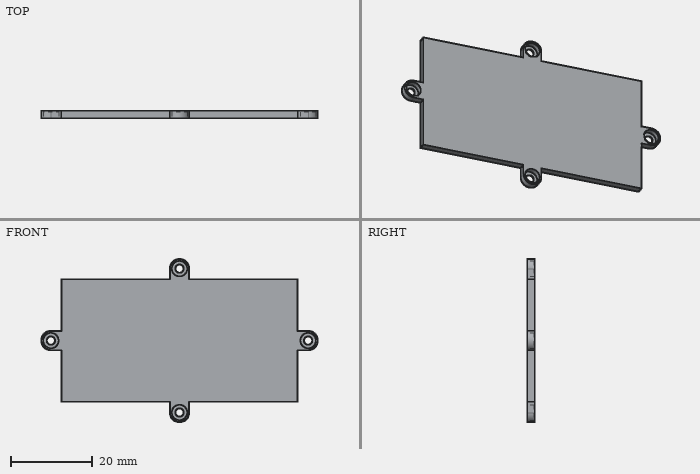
import cadquery as cq

plate_length = 58.21
plate_height = 30.27
thickness = 1.9

lug_reach = 5.0
lug_width = 4.8
lug_radius = lug_width / 2
hole_offset = lug_reach - lug_radius

hole_diameter = 2.0
counterbore_diameter = 3.8
counterbore_depth = 1.6

front_y = -thickness / 2
hole_x = plate_length / 2 + hole_offset
hole_z = plate_height / 2 + hole_offset
hole_centers = [(hole_x, 0), (-hole_x, 0), (0, hole_z), (0, -hole_z)]


def front_plane():
    """Sketch plane on the front face: local x is X, local y is Z, normal is -Y."""
    return cq.Workplane("XZ", origin=(0, front_y, 0))


def make_plate():
    return cq.Workplane("XY").box(plate_length, thickness, plate_height)


def make_lugs():
    """Two round-ended bars crossing at the plate centre; their ends form the lugs."""
    bar_x = front_plane().slot2D(2 * (hole_x + lug_radius), lug_width)
    bar_z = front_plane().slot2D(2 * (hole_z + lug_radius), lug_width, 90)
    return bar_x.extrude(-thickness).union(bar_z.extrude(-thickness))


def make_holes():
    """Through holes with their wider counterbores, as one cutting body."""
    sketch = front_plane().pushPoints(hole_centers)
    through = sketch.circle(hole_diameter / 2).extrude(-thickness)
    counterbores = sketch.circle(counterbore_diameter / 2).extrude(-counterbore_depth)
    return through.union(counterbores)


result = make_plate().union(make_lugs()).cut(make_holes())